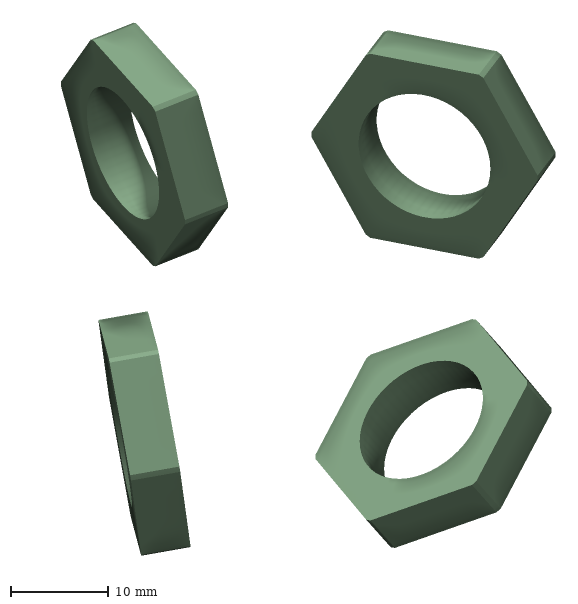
import math

import cadquery as cq

across_flats = 21.85
across_corners = 24.9
thickness = 5.15
bore_diameter = 14.5

corner_count = 6
sharp_across_corners = across_flats / math.cos(math.pi / corner_count)


def cylinder(diameter):
    """Cylinder through the full thickness, on the nut axis along Y."""
    return cq.Workplane("XZ").circle(diameter / 2).extrude(thickness)


def hexagonal_prism():
    """Sharp-cornered hexagon with two corners on X and two flats facing up and down."""
    return cq.Workplane("XZ").polygon(corner_count, sharp_across_corners).extrude(thickness)


nut_body = hexagonal_prism().intersect(cylinder(across_corners))

result = nut_body.cut(cylinder(bore_diameter))